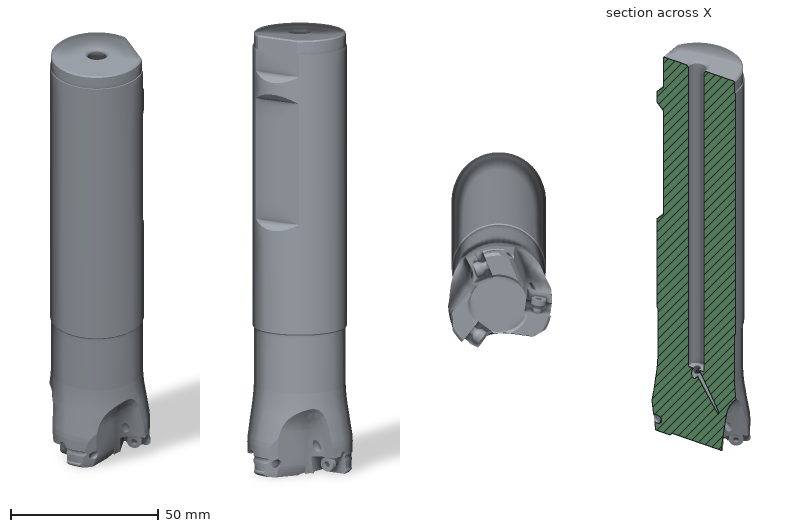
import cadquery as cq
import math

reach = 60.6
overlap = 1.5

total_length = 151.6
teeth = 3
tooth_pitch = 360.0 / teeth

shank_diameter = 32.0
shank_radius = shank_diameter / 2
neck_radius = 15.6
neck_top = 49.9
neck_step = 0.5
collar_bottom = 146.9
end_chamfer = 0.5

flat_distance = 13.3
upper_flat_bottom = 139.2
lower_flat_top = 129.8
lower_flat_bottom = 88.0

flare_top = 29.4
flare_bottom = 20.8
flare_bottom_radius = 16.5
flare_sag = 0.2
head_radius = 18.0
cone_bottom = 12.0
cone_bottom_radius = 17.9
cylinder_top = 10.2
groove_top = 6.5
groove_bottom = 5.5
groove_radius = 17.6
ledge_drop = 0.5
relief_top = 4.5
relief_bottom = 1.8
relief_radius = 17.9
lip_radius = 18.2
bottom_chamfer = 0.9
dish_radius = 10.6
dish_depth = 0.9

bore_radius = 3.2
bore_bottom = 30.3
bore_chamfer = 0.8
outlet_radius = 1.2
outlet_x = 0.6
outlet_y = -12.3
outlet_z = 10.0

flute_arc_start_y = -11.5
flute_arc_start_z = 16.0
flute_slope = 0.1
flute_arc_radius = 11.7
flute_kink_top = 3.8
flute_kink_bottom = 2.9
flute_foot_slope = 0.3
flute_foot_end_x = -2.7
flute_wall_angle = 25.0
flute_wall_x = 1.5
flute_wall_tilt = 8.5
flute_wall_z = 6.0
flute_corner_radius = 6.5

trailing_angle = 231.0
trailing_distance = 15.6
trailing_tilt = 7.0

screw_heading = 30.0
screw_rise = 5.0
seat_offset = 1.5
screw_radial = 13.3
seat_center_z = 4.1
pocket_inner_width = 4.4
pocket_roof = 2.9
corner_relief_radius = 1.4
pocket_depth = 12.1

head_diameter = 5.0
head_height = 1.8
head_cone_height = 1.4
head_face_distance = 4.7
thread_diameter = 3.0
thread_length = 6.4
socket_sides = 6
socket_width = 2.5
socket_depth = 1.2


def repeat_around_axis(shape):
    """Return one copy of the shape for each tooth."""
    return [shape.rotate((0, 0, 0), (0, 0, 1), i * tooth_pitch) for i in range(teeth)]


def make_blank():
    """Turned outline of the shank, neck and flared head."""
    flare_middle = (flare_top + flare_bottom) / 2
    flare_mid_radius = (neck_radius + flare_bottom_radius) / 2 - flare_sag
    return (
        cq.Workplane("XZ")
        .moveTo(0, dish_depth)
        .lineTo(dish_radius - dish_depth, dish_depth)
        .lineTo(dish_radius, 0)
        .lineTo(lip_radius - bottom_chamfer, 0)
        .lineTo(lip_radius, bottom_chamfer)
        .lineTo(lip_radius, relief_bottom - ledge_drop)
        .lineTo(relief_radius, relief_bottom)
        .lineTo(relief_radius, relief_top)
        .lineTo(groove_radius, groove_bottom)
        .lineTo(groove_radius, groove_top - ledge_drop)
        .lineTo(head_radius, groove_top)
        .lineTo(head_radius, cylinder_top)
        .lineTo(cone_bottom_radius, cone_bottom)
        .lineTo(flare_bottom_radius, flare_bottom)
        .threePointArc((flare_mid_radius, flare_middle), (neck_radius, flare_top))
        .lineTo(neck_radius, neck_top - neck_step)
        .lineTo(shank_radius, neck_top)
        .lineTo(shank_radius, collar_bottom)
        .lineTo(neck_radius, collar_bottom)
        .lineTo(neck_radius, total_length)
        .lineTo(0, total_length)
        .close()
        .revolve(360, (0, 0, 0), (0, 1, 0))
    )


def make_flats():
    """Material above the two clamping flats, with 45 degree run-outs."""
    outside = shank_radius + overlap
    runout = outside - flat_distance
    upper = [
        (flat_distance, upper_flat_bottom),
        (outside, upper_flat_bottom - runout),
        (outside, total_length),
        (flat_distance, total_length),
    ]
    lower = [
        (flat_distance, lower_flat_bottom),
        (outside, lower_flat_bottom - runout),
        (outside, lower_flat_top + runout),
        (flat_distance, lower_flat_top),
    ]
    flats = cq.Workplane("YZ").polyline(upper).close().extrude(shank_radius, both=True)
    return flats.union(cq.Workplane("YZ").polyline(lower).close().extrude(shank_radius, both=True))


def floor_y(z):
    """Y of the sloping flute floor at height z."""
    return flute_arc_start_y + flute_slope * (flute_arc_start_z - z)


def make_flute():
    """Sloping floor that runs out upward in an arc, closed by a leaning wall with a round corner."""
    lean = math.atan(flute_slope)
    arc_center_y = flute_arc_start_y - flute_arc_radius * math.cos(lean)
    arc_center_z = flute_arc_start_z - flute_arc_radius * math.sin(lean)
    arc_middle = (
        arc_center_y + flute_arc_radius * math.cos(math.pi / 4),
        arc_center_z + flute_arc_radius * math.sin(math.pi / 4),
    )
    trough = (
        cq.Workplane("YZ")
        .moveTo(floor_y(-overlap), -overlap)
        .lineTo(flute_arc_start_y, flute_arc_start_z)
        .threePointArc(arc_middle, (arc_center_y, arc_center_z + flute_arc_radius))
        .lineTo(arc_center_y, -overlap)
        .close()
        .extrude(reach / 2, both=True)
    )
    wall_side = (
        cq.Workplane("XY")
        .box(reach, 2 * reach, 2 * reach)
        .translate((-reach / 2, 0, 0))
        .rotate((0, 0, 0), (0, 1, 0), -flute_wall_tilt)
        .rotate((0, 0, 0), (0, 0, 1), flute_wall_angle)
        .translate((flute_wall_x, floor_y(flute_wall_z), flute_wall_z))
    )
    corner_zone = cq.selectors.BoxSelector(
        (-flute_corner_radius, arc_center_y + overlap, 0),
        (flute_corner_radius, 0, reach),
    )
    return trough.intersect(wall_side).edges(corner_zone).fillet(flute_corner_radius)


def make_flute_foot():
    """Steeper strip in two facets along the lower edge of the flute floor."""
    slope_step = flute_foot_slope - flute_slope
    kink_y = floor_y(flute_kink_bottom) + slope_step * (flute_kink_top - flute_kink_bottom) / 2
    end_y = kink_y + flute_foot_slope * (flute_kink_bottom + overlap)
    return (
        cq.Workplane("YZ", origin=(flute_foot_end_x, 0, 0))
        .moveTo(floor_y(flute_kink_top), flute_kink_top)
        .lineTo(kink_y, flute_kink_bottom)
        .lineTo(end_y, -overlap)
        .lineTo(-reach, -overlap)
        .lineTo(-reach, flute_kink_top)
        .close()
        .extrude(-reach)
    )


def make_trailing_flat():
    """Block whose leaning inner face trims the trailing corner of a tooth."""
    return (
        cq.Workplane("XY")
        .box(reach, reach, reach)
        .translate((reach / 2, 0, 0))
        .rotate((0, 0, 0), (0, 1, 0), trailing_tilt)
        .translate((trailing_distance, 0, 0))
        .rotate((0, 0, 0), (0, 0, 1), trailing_angle)
    )


def pocket_plane():
    """Seat plane: X points to the tool axis, the normal runs along the screw into the tooth."""
    heading = math.radians(screw_heading)
    rise = math.radians(screw_rise)
    along = cq.Vector(math.cos(heading), math.sin(heading), 0)
    inward = cq.Vector(-math.sin(heading), math.cos(heading), 0)
    center = along * seat_offset - inward * screw_radial + cq.Vector(0, 0, seat_center_z)
    normal = along * math.cos(rise) + cq.Vector(0, 0, math.sin(rise))
    return cq.Plane(center, inward, normal)


def make_pocket():
    """Insert pocket open to the flute, the rim and the end, with a relieved roof corner."""
    plane = pocket_plane()
    pocket = (
        cq.Workplane(plane)
        .moveTo(pocket_inner_width, pocket_roof)
        .lineTo(-pocket_depth, pocket_roof)
        .lineTo(-pocket_depth, -pocket_depth)
        .lineTo(pocket_inner_width, -pocket_depth)
        .close()
        .extrude(-pocket_depth)
    )
    relief_start = plane.toWorldCoords((pocket_inner_width, pocket_roof, -corner_relief_radius))
    relief = cq.Solid.makeCylinder(corner_relief_radius, pocket_depth, relief_start, plane.xDir * -1)
    return pocket.union(cq.Workplane(relief))


def make_screw_hole():
    """Round hole for the screw thread, through the tooth to its trailing side."""
    return cq.Workplane(pocket_plane()).circle(thread_diameter / 2).extrude(reach / 2)


def make_screw():
    """Insert screw: cylindrical head with a hexagon socket, cone, and plain thread core."""
    plane = pocket_plane()
    screw_head_radius = head_diameter / 2
    thread_radius = thread_diameter / 2
    cone_start = head_height - head_face_distance
    cone_end = cone_start + head_cone_height
    axis_profile = cq.Plane(plane.origin, plane.xDir, plane.yDir * -1)
    screw = (
        cq.Workplane(axis_profile)
        .moveTo(0, -head_face_distance)
        .lineTo(screw_head_radius, -head_face_distance)
        .lineTo(screw_head_radius, cone_start)
        .lineTo(thread_radius, cone_end)
        .lineTo(thread_radius, thread_length)
        .lineTo(0, thread_length)
        .close()
        .revolve(360, (0, 0, 0), (0, 1, 0))
    )
    head_face = cq.Workplane(plane).workplane(offset=-head_face_distance)
    return screw.cut(head_face.polygon(socket_sides, socket_width).extrude(socket_depth))


def make_coolant_outlet():
    """Oblique passage from the foot of the bore to the flute corner."""
    start = cq.Vector(0, 0, bore_bottom)
    direction = cq.Vector(outlet_x, outlet_y, outlet_z) - start
    return cq.Solid.makeCylinder(outlet_radius, direction.Length + overlap, start, direction)


def make_bore():
    """Coolant bore from the shank end, with a chamfered mouth."""
    mouth_radius = bore_radius + bore_chamfer
    return (
        cq.Workplane("XZ")
        .moveTo(0, bore_bottom)
        .lineTo(bore_radius, bore_bottom)
        .lineTo(bore_radius, total_length - bore_chamfer)
        .lineTo(mouth_radius, total_length)
        .lineTo(0, total_length)
        .close()
        .revolve(360, (0, 0, 0), (0, 1, 0))
    )


def make_body():
    """Tool body with its flutes, pockets, screw holes and coolant passages."""
    body = make_blank().cut(make_flats())
    body = body.faces(">Z").edges().chamfer(end_chamfer).cut(make_bore())
    tooth_cuts = [
        make_flute().val(),
        make_flute_foot().val(),
        make_trailing_flat().val(),
        make_pocket().val(),
        make_screw_hole().val(),
        make_coolant_outlet(),
    ]
    for cut in tooth_cuts:
        for copy in repeat_around_axis(cut):
            body = body.cut(cq.Workplane(copy))
    return body


body = make_body()
screws = repeat_around_axis(make_screw().val())

result = cq.Compound.makeCompound([body.val(), *screws])